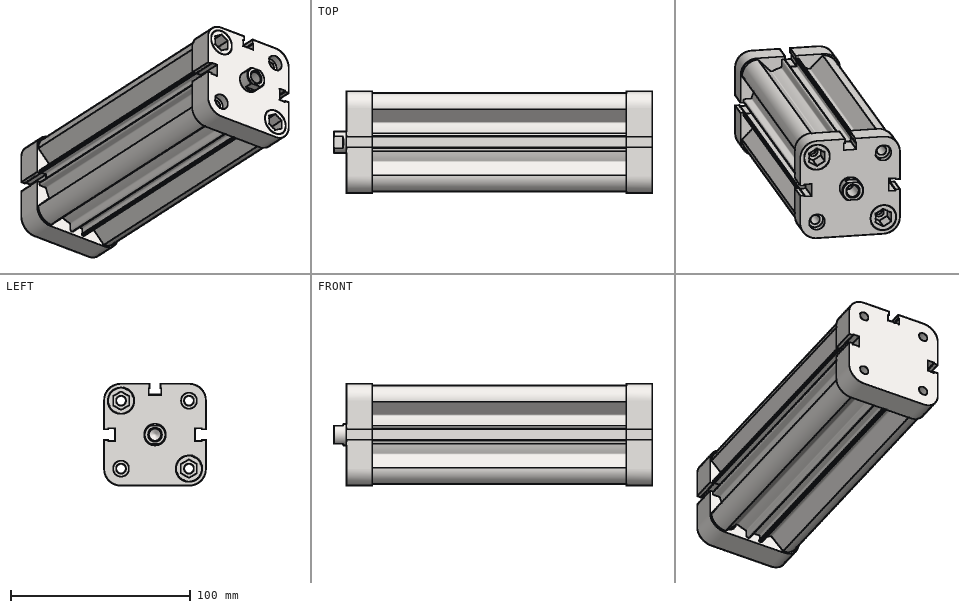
import cadquery as cq
import math


total_length = 178.0
rod_reach = 7.1
cap_length = 14.6
housing_length = total_length - rod_reach
barrel_length = housing_length - 2 * cap_length

cap_size = 57.0
cap_corner_radius = 9.5
cap_mouth_width = 5.9
cap_slot_width = 7.1
slot_floor = 22.0
lip_bottom = 26.0
slotted_sides = (0, 90, -90)

barrel_size = 55.2
barrel_corner_radius = 9.0
corner_bar_width = barrel_corner_radius * math.sqrt(2)
shell_radius = 22.8
valley_radius = 0.9
barrel_slot_width = 7.0
barrel_slot_floor = 22.5
barrel_mouth_width = cap_mouth_width
lip_chamfer = 0.5
slot_floor_radius = 0.5
rib_width = 10.1
rib_top = 26.9
rib_edge_radius = 1.0
rib_foot_radius = 0.7
all_sides = (0, 90, 180, 270)

hole_spacing = 38.0
hole_offset = hole_spacing / 2
screw_places = [(hole_offset, hole_offset), (-hole_offset, -hole_offset)]
plain_hole_places = [(-hole_offset, hole_offset), (hole_offset, -hole_offset)]
through_diameter = 5.3
counterbore_diameter = 8.9
counterbore_depth = 4.6
screw_diameter = 14.5
screw_clearance = 0.2
screw_length = cap_length
hex_width = 8.9
hex_depth = 10.7

rod_diameter = 12.1
rod_insertion = cap_length
flat_width = 10.1
flat_length = 5.2
ramp_length = 0.5
rod_chamfer = 0.4
rod_bore_diameter = 6.8
rod_bore_chamfer = 0.5
rod_bore_depth = 14.2
drill_tip_angle = 118.0


def section(x):
    """Sketch plane across the axis at x, with its local axes along +Y and +Z."""
    return cq.Workplane("YZ", origin=(x, 0, 0))


def turned(shape, angle):
    return shape.rotate((0, 0, 0), (1, 0, 0), angle)


def block(x, length, width, bottom, top):
    """Block centred on Y that spans the heights from bottom to top."""
    return section(x).center(0, (bottom + top) / 2).rect(width, top - bottom).extrude(length)


def make_cap(x):
    cap = section(x).rect(cap_size, cap_size).extrude(cap_length)
    cap = cap.edges("|X").fillet(cap_corner_radius)
    mouth = block(x, cap_length, cap_mouth_width, slot_floor, cap_size / 2)
    slot = mouth.union(block(x, cap_length, cap_slot_width, slot_floor, lip_bottom))
    for angle in slotted_sides:
        cap = cap.cut(turned(slot, angle))
    return cap


def make_barrel_core():
    """Round shell with a bar across each diagonal, joined by rounded valleys."""
    x = cap_length
    bars = section(x).circle(shell_radius).extrude(barrel_length)
    for angle in (45, 135):
        bar = section(x).rect(2 * barrel_size, corner_bar_width).extrude(barrel_length)
        bars = bars.union(turned(bar, angle))
    valleys = cq.selectors.BoxSelector(
        (0, -shell_radius, -shell_radius), (housing_length, shell_radius, shell_radius)
    )
    bars = bars.edges("|X").edges(valleys).fillet(valley_radius)
    envelope = section(x).rect(barrel_size, barrel_size).extrude(barrel_length)
    return bars.intersect(envelope.edges("|X").fillet(barrel_corner_radius))


def make_barrel_slot():
    """Undercut slot with rounded floor corners and a chamfer along the outer edge of each lip."""
    half_slot = barrel_slot_width / 2
    half_mouth = barrel_mouth_width / 2
    half_outlet = half_mouth + lip_chamfer
    half_outline = [
        (half_slot, barrel_slot_floor),
        (half_slot, lip_bottom),
        (half_mouth, lip_bottom),
        (half_mouth, rib_top - lip_chamfer),
        (half_outlet, rib_top),
    ]
    mirrored = [(-y, z) for y, z in reversed(half_outline)]
    slot = section(cap_length).polyline(half_outline + mirrored).close().extrude(barrel_length)
    return slot.edges("|X and <Z").fillet(slot_floor_radius)


def make_barrel():
    barrel = make_barrel_core()
    x = cap_length
    ribs = block(x, barrel_length, rib_width, 0, rib_top).edges("|X and >Z").fillet(rib_edge_radius)
    for angle in all_sides:
        barrel = barrel.union(turned(ribs, angle))
    foot_y = rib_width / 2
    foot_z = math.sqrt(shell_radius**2 - foot_y**2)
    middle = housing_length / 2
    for angle in all_sides:
        a = math.radians(angle)
        for y in (-foot_y, foot_y):
            foot = (middle, y * math.cos(a) - foot_z * math.sin(a), y * math.sin(a) + foot_z * math.cos(a))
            barrel = barrel.edges(cq.selectors.NearestToPointSelector(foot)).fillet(rib_foot_radius)
    slot = make_barrel_slot()
    for angle in all_sides:
        barrel = barrel.cut(turned(slot, angle))
    return barrel


def make_rod():
    rod = section(-rod_reach).circle(rod_diameter / 2).extrude(rod_reach + rod_insertion)
    rod = rod.faces("<X").chamfer(rod_chamfer)
    low = flat_width / 2
    high = rod_diameter / 2
    flat_end = -rod_reach + flat_length
    flat = (
        cq.Workplane("XZ")
        .moveTo(-rod_reach, low)
        .lineTo(flat_end, low)
        .lineTo(flat_end + ramp_length, high)
        .lineTo(-rod_reach, high)
        .close()
        .extrude(rod_diameter, both=True)
    )
    rod = rod.cut(flat).cut(turned(flat, 180))
    radius = rod_bore_diameter / 2
    tip_length = radius / math.tan(math.radians(drill_tip_angle / 2))
    bore = (
        cq.Workplane("XZ")
        .moveTo(-rod_reach, 0)
        .lineTo(-rod_reach, radius + rod_bore_chamfer)
        .lineTo(-rod_reach + rod_bore_chamfer, radius)
        .lineTo(-rod_reach + rod_bore_depth, radius)
        .lineTo(-rod_reach + rod_bore_depth + tip_length, 0)
        .close()
        .revolve(360, (0, 0, 0), (1, 0, 0))
    )
    return rod.cut(bore)


def make_housing():
    housing = make_barrel()
    for x in (0, housing_length - cap_length):
        housing = housing.union(make_cap(x))
    holes = section(0).pushPoints(screw_places + plain_hole_places)
    housing = housing.cut(holes.circle(through_diameter / 2).extrude(housing_length))
    counterbores = section(0).pushPoints(plain_hole_places).circle(counterbore_diameter / 2)
    housing = housing.cut(counterbores.extrude(counterbore_depth))
    seats = section(0).pushPoints(screw_places).circle(screw_diameter / 2 + screw_clearance)
    housing = housing.cut(seats.extrude(screw_length))
    return housing.cut(section(0).circle(rod_diameter / 2).extrude(rod_insertion))


def make_screw(place):
    screw = section(0).circle(screw_diameter / 2).extrude(screw_length)
    screw = screw.cut(section(0).circle(through_diameter / 2).extrude(screw_length))
    socket = section(0).polygon(6, hex_width, circumscribed=True).extrude(hex_depth)
    return screw.cut(socket).translate((0, *place))


housing = make_housing()
rod = make_rod()
screws = [make_screw(place) for place in screw_places]
result = cq.Compound.makeCompound([housing.val(), rod.val(), *[screw.val() for screw in screws]])